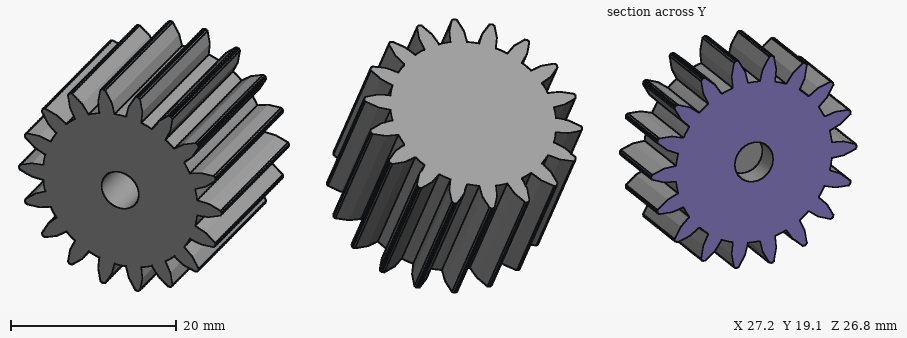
import cadquery as cq
import math

tooth_count = 18
face_width = 19.05
outer_radius = 27.18 / 2
root_radius = 10.37

root_half_thickness = 1.05
inner_bend_distance = 11.86
inner_bend_half_thickness = 0.93
outer_bend_distance = 11.96
outer_bend_half_thickness = 0.89
flank_end_distance = 13.46
flank_end_half_thickness = 0.33
tip_half_thickness = 0.09

bore_diameter = 4.98
bore_depth = 12.7

tooth_pitch = 2 * math.pi / tooth_count


def on_circle(radius, half_thickness):
    """Tooth point lying on a circle around the gear axis, as (distance, half thickness)."""
    return (math.sqrt(radius**2 - half_thickness**2), half_thickness)


def rotated(point, angle):
    """Point turned about the gear axis by an angle in radians."""
    x, z = point
    return (
        x * math.cos(angle) - z * math.sin(angle),
        x * math.sin(angle) + z * math.cos(angle),
    )


def mirrored(point):
    """Point reflected in the centre line of the tooth."""
    x, z = point
    return (x, -z)


def make_gear_outline():
    """Closed outline of all the teeth, with the first tooth centred on +X."""
    upper_flank = [
        on_circle(outer_radius, tip_half_thickness),
        (flank_end_distance, flank_end_half_thickness),
        (outer_bend_distance, outer_bend_half_thickness),
        (inner_bend_distance, inner_bend_half_thickness),
        on_circle(root_radius, root_half_thickness),
    ]
    lower_flank = [mirrored(point) for point in reversed(upper_flank)]
    root_start = lower_flank[0]
    tip_middle = (outer_radius, 0)
    gap_middle = rotated((root_radius, 0), tooth_pitch / 2)

    outline = cq.Workplane("XZ").moveTo(*root_start)
    for tooth in range(tooth_count):
        angle = tooth * tooth_pitch
        for point in lower_flank[1:]:
            outline = outline.lineTo(*rotated(point, angle))
        outline = outline.threePointArc(rotated(tip_middle, angle), rotated(upper_flank[0], angle))
        for point in upper_flank[1:]:
            outline = outline.lineTo(*rotated(point, angle))
        next_root = rotated(root_start, angle + tooth_pitch)
        outline = outline.threePointArc(rotated(gap_middle, angle), next_root)
    return outline.close()


def make_gear():
    """Toothed body along Y, centred on the origin."""
    return make_gear_outline().extrude(face_width / 2, both=True)


def make_bore():
    """Cylinder that removes the shaft bore, entering from the -Y face."""
    bore = cq.Workplane("XZ", origin=(0, -face_width / 2, 0)).circle(bore_diameter / 2)
    return bore.extrude(-bore_depth)


result = make_gear().cut(make_bore())